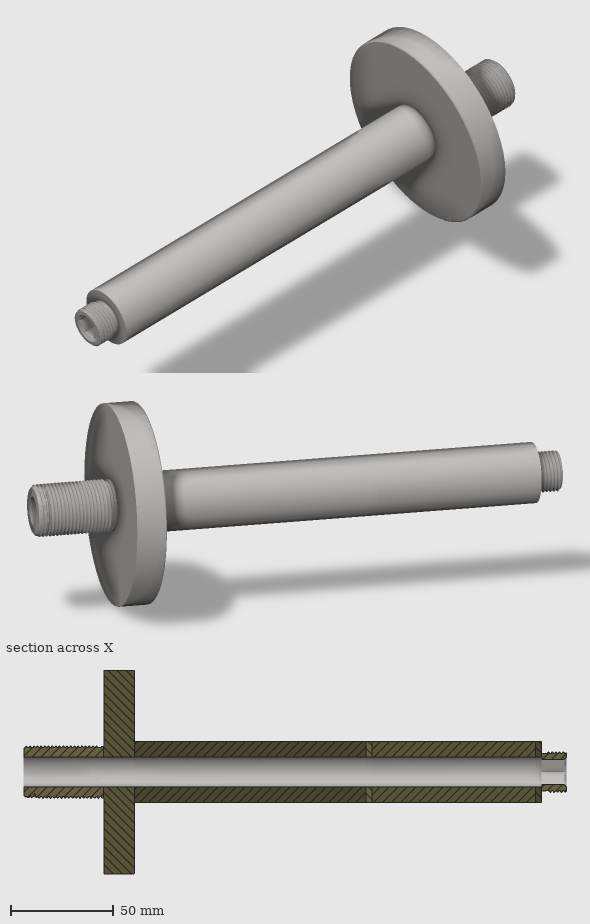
import cadquery as cq
import math


flange_dia = 100.0
flange_thickness = 15.2
flange_chamfer = 0.5
arm_dia = 30.0
rear_tube_length = 113.3
ring_width = 3.0
front_tube_length = 80.0
bore_dia = 14.4

thread_pitch = 1.8
thread_depth = 0.95
ridge_base_width = 0.98 * thread_pitch
thread_sink = 0.13
wall_stem_dia = 26.0
wall_stem_length = 39.5
wall_neck_dia = 25.5
wall_neck_length = 1.3
wall_tip_chamfer = 1.5
outlet_dia = 20.2
outlet_length = 12.2
outlet_neck_dia = 18.5
outlet_neck_length = 1.9
outlet_tip_chamfer = 0.5

hex_across_flats = 12.0
socket_mouth_dia = 15.0

flange_front = -flange_thickness
rear_tube_end = flange_front - rear_tube_length
middle_ring_end = rear_tube_end - ring_width
front_tube_end = middle_ring_end - front_tube_length
arm_end = front_tube_end - ring_width


def revolve_about_axis(profile):
    """Revolve (radius, y) points about the Y axis."""
    return cq.Workplane("XY").polyline(profile).close().revolve(360, (0, 0, 0), (0, 1, 0))


def sleeve(outer_dia, y_back, y_front):
    """Plain bored cylinder between two positions on the axis."""
    outer = outer_dia / 2
    inner = bore_dia / 2
    return revolve_about_axis([(inner, y_back), (outer, y_back), (outer, y_front), (inner, y_front)])


def thread_ridge(root, crest, start, length):
    """Solid helical ridge of triangular section around the Z axis, rooted slightly inside the core."""
    foot = root - thread_sink
    half_foot = ridge_base_width / 2

    def helix(radius, z):
        return cq.Wire.makeHelix(thread_pitch, length, radius, cq.Vector(0, 0, z))

    corners = [helix(foot, start - half_foot), helix(crest, start), helix(foot, start + half_foot)]
    flanks = [cq.Face.makeRuledSurface(corners[i - 1], corners[i]) for i in range(3)]
    ends = [
        cq.Face.makeFromWires(cq.Wire.makePolygon([corner.positionAt(t) for corner in corners], close=True))
        for t in (0, 1)
    ]
    return cq.Workplane("XY").add(cq.Solid.makeSolid(cq.Shell.makeShell(flanks + ends)))


def threaded_stem(thread_dia, length, neck_dia, neck_length, chamfer):
    """Solid threaded stem along +Z: plain neck at Z = 0, chamfered tip at Z = length."""
    crest = thread_dia / 2
    root = crest - thread_depth
    core = cq.Workplane("XY").circle(root).extrude(length)
    neck = cq.Workplane("XY").circle(neck_dia / 2).extrude(neck_length)

    ridge = thread_ridge(root, crest, neck_length + thread_pitch / 2, length - neck_length)

    clear = crest + thread_depth
    trim_end = length + 2 * thread_pitch
    trim = (
        cq.Workplane("XZ")
        .polyline([
            (0, length),
            (crest - chamfer, length),
            (crest, length - chamfer),
            (clear, length - chamfer),
            (clear, trim_end),
            (0, trim_end),
        ])
        .close()
        .revolve(360, (0, 0, 0), (0, 1, 0))
    )
    return core.union(ridge).cut(trim).union(neck)


def make_wall_stem():
    """Rear threaded stem that screws into the wall."""
    stem = threaded_stem(
        wall_stem_dia, wall_stem_length, wall_neck_dia, wall_neck_length, wall_tip_chamfer
    )
    bore = cq.Workplane("XY").circle(bore_dia / 2).extrude(wall_stem_length)
    return stem.cut(bore).rotate((0, 0, 0), (1, 0, 0), -90).solids()


def make_flange():
    """Bored wall disc with a small chamfer on its front rim."""
    inner = bore_dia / 2
    outer = flange_dia / 2
    return revolve_about_axis([
        (inner, 0),
        (outer, 0),
        (outer, flange_front + flange_chamfer),
        (outer - flange_chamfer, flange_front),
        (inner, flange_front),
    ])


def make_outlet_nipple():
    """Front threaded nipple with a hexagonal through socket and a conical mouth."""
    nipple = threaded_stem(
        outlet_dia, outlet_length, outlet_neck_dia, outlet_neck_length, outlet_tip_chamfer
    )
    hex_corner_dia = hex_across_flats / math.cos(math.pi / 6)
    socket = cq.Workplane("XY").polygon(6, hex_corner_dia).extrude(outlet_length)
    mouth_depth = (socket_mouth_dia - hex_across_flats) / 2
    mouth = cq.Workplane("XY").add(cq.Solid.makeCone(
        hex_across_flats / 2, socket_mouth_dia / 2, mouth_depth,
        pnt=cq.Vector(0, 0, outlet_length - mouth_depth),
    ))
    nipple = nipple.cut(socket).cut(mouth)
    return nipple.rotate((0, 0, 0), (1, 0, 0), 90).translate((0, arm_end, 0)).solids()


wall_stem = make_wall_stem()
flange = make_flange()
rear_tube = sleeve(arm_dia, flange_front, rear_tube_end)
middle_ring = sleeve(arm_dia, rear_tube_end, middle_ring_end)
front_tube = sleeve(arm_dia, middle_ring_end, front_tube_end)
end_ring = sleeve(arm_dia, front_tube_end, arm_end)
outlet_nipple = make_outlet_nipple()

result = cq.Compound.makeCompound([
    wall_stem.val(),
    flange.val(),
    rear_tube.val(),
    middle_ring.val(),
    front_tube.val(),
    end_ring.val(),
    outlet_nipple.val(),
])